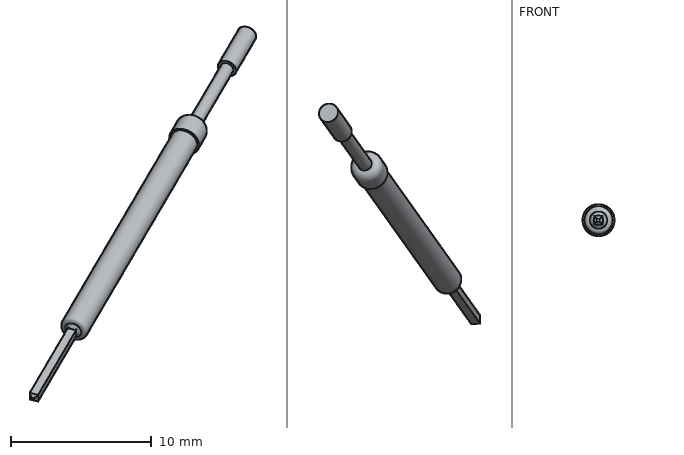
import cadquery as cq

head_diameter = 1.4
plunger_diameter = 0.98
collar_diameter = 2.3
barrel_diameter = 2.0
neck_base_diameter = 1.25
neck_end_diameter = 0.7
pin_width = 0.65

total_length = 42.5
head_length = 4.0
plunger_length = 6.5
collar_length = 2.0
barrel_length = 22.0
neck_length = 0.25

collar_round = 0.55
barrel_round = 0.3
pin_tip_chamfer = 0.2

head_end = total_length / 2
plunger_end = head_end - head_length
collar_end = plunger_end - plunger_length
barrel_top = collar_end - collar_length
barrel_bottom = barrel_top - barrel_length
neck_bottom = barrel_bottom - neck_length
pin_tip = head_end - total_length


def section_plane(y):
    """Plane across the probe axis at y, extruding towards +Y."""
    return cq.Workplane(cq.Plane(origin=(0, y, 0), xDir=(1, 0, 0), normal=(0, 1, 0)))


def rod(diameter, bottom, top):
    """Round rod along Y between two stations."""
    return section_plane(bottom).circle(diameter / 2).extrude(top - bottom)


head = rod(head_diameter, plunger_end, head_end)
plunger = rod(plunger_diameter, collar_end, plunger_end)
collar = rod(collar_diameter, barrel_top, collar_end).faces(">Y").edges().fillet(collar_round)
barrel = rod(barrel_diameter, barrel_bottom, barrel_top).faces("<Y").edges().fillet(barrel_round)

neck = (
    section_plane(neck_bottom)
    .circle(neck_end_diameter / 2)
    .workplane(offset=neck_length)
    .circle(neck_base_diameter / 2)
    .loft()
)

pin = (
    section_plane(pin_tip)
    .rect(pin_width, pin_width)
    .extrude(barrel_bottom - pin_tip)
    .faces("<Y")
    .chamfer(pin_tip_chamfer)
)

result = head.union(plunger).union(collar).union(barrel).union(neck).union(pin)